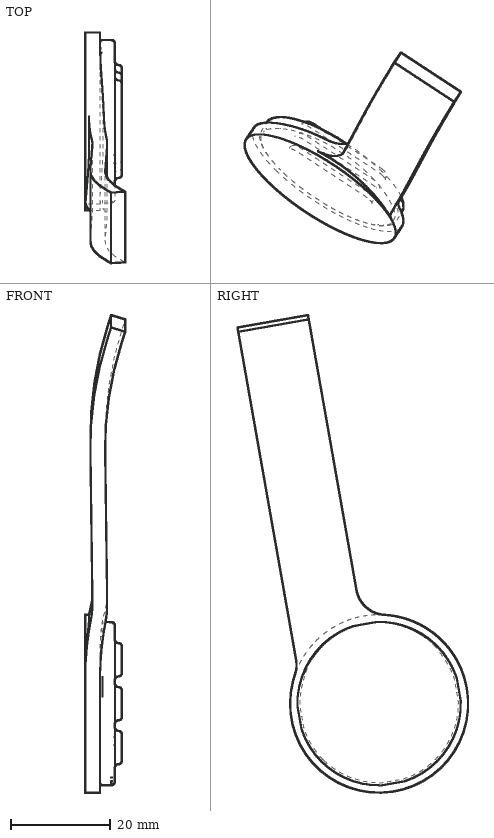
import cadquery as cq
import math

LEVER_TILT = 10.0

HEAD_RADIUS = 18.0
PLATE_THICKNESS = 3.0

LEVER_OUTER_Y = -15.0
LEVER_INNER_Y = -0.5
LEVER_TOP_Z = 79.8
NECK_FILLET = 6.0

RISE_START_Z = 7.5
RISE_END_Z = 20.5
LEVEL_END_Z = 22.6
CURL_START_Z = 53.9
CURL_END_Z = 77.5
RISE_SLOPE = 11.0
STRAIGHT_SLOPE = -0.75
TIP_SLOPE = 17.5

PAD_RADIUS = 16.5
PAD_THICKNESS = 3.0
PAD_FLAT_WIDTH = 4.7
PAD_BACK_FILLET = 0.5
PAD_FRONT_FILLET = 0.75

BAR_COUNT = 3
BAR_PITCH = 9.0
BAR_LENGTH = 20.0
BAR_WIDTH = 4.0
BAR_FILLET = 0.7
BAR_HEIGHT = 2 * BAR_FILLET

PRISM_DEPTH = 10.0
PAD_FRONT_X = PLATE_THICKNESS + PAD_THICKNESS


def arc_step(point, start_slope, end_slope, end_z):
    """Middle and end points of an arc in (X, Z) that turns between two slopes."""
    start, end = math.radians(start_slope), math.radians(end_slope)
    middle = (start + end) / 2
    radius = (end_z - point[1]) / (math.sin(end) - math.sin(start))

    def on_arc(angle):
        return (
            point[0] + radius * (math.cos(start) - math.cos(angle)),
            point[1] + radius * (math.sin(angle) - math.sin(start)),
        )

    return on_arc(middle), on_arc(end)


def line_step(point, slope, end_z):
    """End point of a straight run in (X, Z) at a given slope."""
    return (point[0] + (end_z - point[1]) * math.tan(math.radians(slope)), end_z)


def front_point(point, slope):
    """Point on the front face, square across the plate from a back face point."""
    angle = math.radians(slope)
    return (
        point[0] + PLATE_THICKNESS * math.cos(angle),
        point[1] - PLATE_THICKNESS * math.sin(angle),
    )


FOOT = (0, -HEAD_RADIUS)
RISE_START = (0, RISE_START_Z)
RISE_MID, RISE_END = arc_step(RISE_START, 0, RISE_SLOPE, RISE_END_Z)
LEVEL_MID, LEVEL_END = arc_step(RISE_END, RISE_SLOPE, STRAIGHT_SLOPE, LEVEL_END_Z)
CURL_START = line_step(LEVEL_END, STRAIGHT_SLOPE, CURL_START_Z)
CURL_MID, CURL_END = arc_step(CURL_START, STRAIGHT_SLOPE, TIP_SLOPE, CURL_END_Z)
TIP = line_step(CURL_END, TIP_SLOPE, LEVER_TOP_Z)

RISE_MID_SLOPE = RISE_SLOPE / 2
LEVEL_MID_SLOPE = (RISE_SLOPE + STRAIGHT_SLOPE) / 2
CURL_MID_SLOPE = (STRAIGHT_SLOPE + TIP_SLOPE) / 2


def profile_plane():
    """Profile plane on the +Y side of the head; extrusions run towards -Y."""
    return cq.Workplane("XZ", origin=(0, HEAD_RADIUS, 0))


def make_head_sheet():
    """Sheet with a flat back whose front face follows the lever profile."""
    return (
        profile_plane()
        .moveTo(*FOOT)
        .lineTo(0, RISE_END_Z)
        .lineTo(*front_point(RISE_END, RISE_SLOPE))
        .threePointArc(front_point(RISE_MID, RISE_MID_SLOPE), front_point(RISE_START, 0))
        .lineTo(*front_point(FOOT, 0))
        .close()
        .extrude(2 * HEAD_RADIUS)
    )


def make_lever_sheet():
    """Sheet of constant thickness that follows the lever profile."""
    return (
        profile_plane()
        .moveTo(*FOOT)
        .lineTo(*RISE_START)
        .threePointArc(RISE_MID, RISE_END)
        .threePointArc(LEVEL_MID, LEVEL_END)
        .lineTo(*CURL_START)
        .threePointArc(CURL_MID, CURL_END)
        .lineTo(*TIP)
        .lineTo(*front_point(TIP, TIP_SLOPE))
        .lineTo(*front_point(CURL_END, TIP_SLOPE))
        .threePointArc(front_point(CURL_MID, CURL_MID_SLOPE), front_point(CURL_START, STRAIGHT_SLOPE))
        .lineTo(*front_point(LEVEL_END, STRAIGHT_SLOPE))
        .threePointArc(front_point(LEVEL_MID, LEVEL_MID_SLOPE), front_point(RISE_END, RISE_SLOPE))
        .threePointArc(front_point(RISE_MID, RISE_MID_SLOPE), front_point(RISE_START, 0))
        .lineTo(*front_point(FOOT, 0))
        .close()
        .extrude(2 * HEAD_RADIUS)
    )


def neck_fillet(edge_y, side):
    """Head contact, middle and lever contact of a neck fillet; side is its Y direction."""
    center_y = edge_y + side * NECK_FILLET
    reach = HEAD_RADIUS + NECK_FILLET
    center_z = math.sqrt(reach**2 - center_y**2)
    share = HEAD_RADIUS / reach
    head_contact = (center_y * share, center_z * share)
    lever_contact = (edge_y, center_z)
    chord_y = (head_contact[0] + lever_contact[0]) / 2 - center_y
    chord_z = (head_contact[1] + lever_contact[1]) / 2 - center_z
    stretch = NECK_FILLET / math.hypot(chord_y, chord_z)
    middle = (center_y + chord_y * stretch, center_z + chord_z * stretch)
    return head_contact, middle, lever_contact


def make_outline_prism():
    """Head and lever outline, extruded deep enough to hold the lever sheet."""
    inner_head, inner_mid, inner_lever = neck_fillet(LEVER_INNER_Y, 1)
    outer_head, outer_mid, outer_lever = neck_fillet(LEVER_OUTER_Y, -1)
    return (
        cq.Workplane("YZ")
        .moveTo(LEVER_INNER_Y, LEVER_TOP_Z)
        .lineTo(*inner_lever)
        .threePointArc(inner_mid, inner_head)
        .threePointArc((0, -HEAD_RADIUS), outer_head)
        .threePointArc(outer_mid, outer_lever)
        .lineTo(LEVER_OUTER_Y, LEVER_TOP_Z)
        .close()
        .extrude(PRISM_DEPTH)
    )


def round_pad_edges(blank):
    """Round the front and back edges of a pad blank."""
    front_rounded = blank.faces(">X").edges().fillet(PAD_FRONT_FILLET)
    return front_rounded.faces("<X").edges().fillet(PAD_BACK_FILLET)


def make_pad():
    """Round pad with rounded edges and four rim flats."""
    flat_distance = math.sqrt(PAD_RADIUS**2 - (PAD_FLAT_WIDTH / 2) ** 2)
    plane = cq.Workplane("YZ", origin=(PLATE_THICKNESS, 0, 0))
    disc = plane.circle(PAD_RADIUS).extrude(PAD_THICKNESS)
    square = plane.rect(2 * flat_distance, 2 * flat_distance).extrude(PAD_THICKNESS)
    return round_pad_edges(disc).intersect(round_pad_edges(square))


def half_bar_section(center_y, center_z):
    """Upper half of the bar section: concave foot fillet, then convex top fillet."""
    half_width = BAR_WIDTH / 2
    offset = BAR_FILLET * math.sqrt(0.5)
    foot_mid = (BAR_FILLET - offset, half_width + BAR_FILLET - offset)
    top_mid = (BAR_FILLET + offset, half_width - BAR_FILLET + offset)
    return (
        cq.Workplane("XZ", origin=(PAD_FRONT_X, center_y, center_z))
        .lineTo(0, half_width + BAR_FILLET)
        .threePointArc(foot_mid, (BAR_FILLET, half_width))
        .threePointArc(top_mid, (BAR_HEIGHT, half_width - BAR_FILLET))
        .lineTo(BAR_HEIGHT, 0)
        .close()
    )


def make_bar(center_z):
    """Round-ended bar along Y with a flared foot and a rounded top."""
    straight_length = BAR_LENGTH - BAR_WIDTH
    end_y = straight_length / 2
    upper_half = half_bar_section(end_y, center_z).extrude(straight_length)
    bar = upper_half.union(upper_half.mirror("XY", (0, 0, center_z)))
    for y in (-end_y, end_y):
        bar = bar.union(half_bar_section(y, center_z).revolve(360, (0, 0), (1, 0)))
    return bar


def make_grip():
    """Pad with its row of bars."""
    grip = make_pad()
    for index in range(BAR_COUNT):
        grip = grip.union(make_bar((index - (BAR_COUNT - 1) / 2) * BAR_PITCH))
    return grip


head_prism = cq.Workplane("YZ").circle(HEAD_RADIUS).extrude(PRISM_DEPTH)
head = make_head_sheet().intersect(head_prism)
lever = make_lever_sheet().intersect(make_outline_prism()).cut(head_prism)
upright = head.union(lever).union(make_grip()).clean()
result = upright.rotate((0, 0, 0), (1, 0, 0), LEVER_TILT)